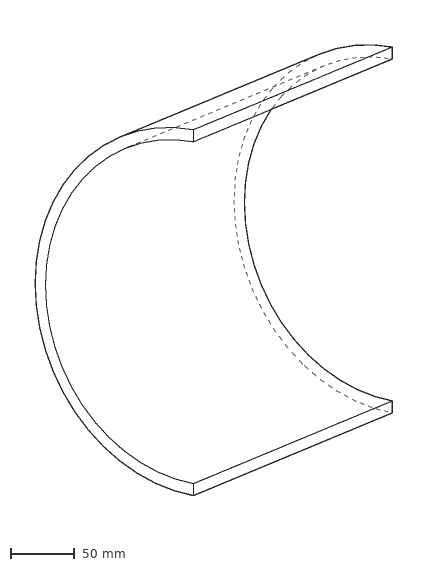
import cadquery as cq

outer_radius = 150.0
wall_thickness = 10.0
length = 282.0
inner_radius = outer_radius - wall_thickness

section = (
    cq.Workplane("XZ")
    .moveTo(0, outer_radius)
    .threePointArc((-outer_radius, 0), (0, -outer_radius))
    .lineTo(0, -inner_radius)
    .threePointArc((-inner_radius, 0), (0, inner_radius))
    .close()
)

result = section.extrude(length / 2, both=True)